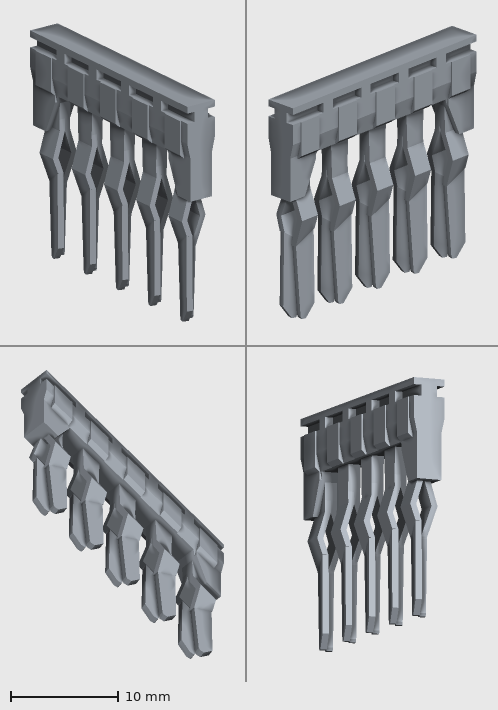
import cadquery as cq
import math


bar_length = 24.9
bar_thickness = 3.15
bar_height = 5.53
half_length = bar_length / 2
half_thickness = bar_thickness / 2

taper_start = 3.7
taper_end = 5.18

leg_thickness = 2.5
leg_height = 9.54
leg_foot_width = 2.0
leg_root_width = 3.78
half_leg_thickness = leg_thickness / 2

pin_count = 5
pitch = 5.1
pin_centers = [(i - (pin_count - 1) / 2) * pitch for i in range(pin_count)]

pad_width = 2.47
pad_thickness = 3.4
pad_chamfer_start = 5.1
slot_width = 3.83
slot_depth = 0.8
slot_top = 0.67
slot_bottom = 1.7
half_pad_thickness = pad_thickness / 2

strip_thickness = 0.62
pin_root = 3.74
pin_half_width = 1.17
waist_half_width = 1.07
waist_depth = 8.12
spread_depth = 9.21
bulge_depth = 11.8
bulge_gap = 0.87
bulge_left = 0.9
edge_slope = 0.05

blade_twist = 13.0
blade_offset = 0.67
blade_right_top = 1.25
blade_right_bottom = 1.37
blade_left_top = 0.7
blade_left_bottom = 0.2
blade_left_depth = 14.95
tip_depth = 20.82
tip_right = 0.4
tip_left = 0.07
tip_left_depth = 21.85
pin_depth = 22.15


def prism_along_y(points, thickness):
    """Extrude an XZ outline symmetrically about the mid plane."""
    return cq.Workplane("XZ").polyline(points).close().extrude(thickness / 2, both=True)


def prism_along_x(points, length):
    """Extrude a YZ outline symmetrically about X = 0."""
    return cq.Workplane("YZ").polyline(points).close().extrude(length / 2, both=True)


def mirrored_in_first(points):
    """Complete a right-hand half outline with its mirror image."""
    return points + [(-a, b) for a, b in reversed(points)]


def make_bar():
    outline = mirrored_in_first([
        (half_length, 0),
        (half_length, -leg_height),
        (half_length - leg_foot_width, -leg_height),
        (half_length - leg_root_width, -bar_height),
    ])
    silhouette = prism_along_y(outline, bar_thickness)

    taper_slope = (half_thickness - half_leg_thickness) / (taper_end - taper_start)
    foot_half_thickness = half_thickness - taper_slope * (leg_height - taper_start)
    section = mirrored_in_first([
        (half_thickness, 0),
        (half_thickness, -taper_start),
        (foot_half_thickness, -leg_height),
    ])
    bar = silhouette.intersect(prism_along_x(section, bar_length))

    leg_block_width = half_length - pin_centers[-1] + pad_width / 2
    for side in (-1, 1):
        block = (
            cq.Workplane("XY")
            .box(leg_block_width, leg_thickness, leg_height, centered=(True, True, False))
            .translate((side * (half_length - leg_block_width / 2), 0, -leg_height))
        )
        bar = bar.union(block.intersect(silhouette))
    return bar


def make_pad():
    section = mirrored_in_first([
        (half_pad_thickness, -slot_bottom),
        (half_pad_thickness, -pad_chamfer_start),
        (half_leg_thickness, -bar_height),
    ])
    return prism_along_x(section, pad_width)


def make_slot_pair():
    """Cutters for the slots in the front and back faces."""
    center_z = -(slot_top + slot_bottom) / 2
    cutter = cq.Workplane("XY").box(slot_width, 2 * slot_depth, slot_bottom - slot_top)
    front = cutter.translate((0, -half_thickness, center_z))
    back = cutter.translate((0, half_thickness, center_z))
    return front.union(back)


def make_front_strip():
    """Bowed strip in front of the mid plane, ending in a twisted blade."""
    spread_slope = bulge_gap / (bulge_depth - spread_depth)
    twist = math.radians(blade_twist)

    bulge_outer = bulge_gap + strip_thickness
    bend_center = bulge_depth + (bulge_outer - blade_offset) / spread_slope
    bend_slope = math.tan(twist) / spread_slope

    def bend_z(x):
        return -bend_center + bend_slope * x

    reach = pad_width
    above_bend = prism_along_y(
        [(-reach, 0), (-reach, bend_z(-reach)), (reach, bend_z(reach)), (reach, 0)],
        2 * pad_thickness,
    )

    inner_line = [
        (0, -pin_root),
        (0, -spread_depth),
        (-bulge_gap, -bulge_depth),
        (spread_slope * (pin_depth - bulge_depth) - bulge_gap, -pin_depth),
    ]
    outer_line = [(y - strip_thickness, z) for y, z in reversed(inner_line)]
    bow_right = waist_half_width + edge_slope * (pin_depth - waist_depth)
    bow_outline = [
        (-pin_half_width, -pin_root),
        (-pin_half_width, -bar_height),
        (-waist_half_width, -waist_depth),
        (-bulge_left, -bulge_depth),
        (-blade_left_top, -blade_left_depth),
        (-blade_left_top, -pin_depth),
        (bow_right, -pin_depth),
        (waist_half_width, -waist_depth),
        (pin_half_width, -bar_height),
        (pin_half_width, -pin_root),
    ]
    bow = (
        prism_along_x(inner_line + outer_line, 2 * reach)
        .intersect(prism_along_y(bow_outline, 2 * pad_thickness))
        .intersect(above_bend)
    )

    blade_face = cq.Plane(
        origin=(0, -blade_offset, 0),
        xDir=(math.cos(twist), -math.sin(twist), 0),
        normal=(-math.sin(twist), -math.cos(twist), 0),
    )
    blade_outline = [
        (-blade_left_top, -bulge_depth),
        (-blade_left_top, -blade_left_depth),
        (-blade_left_bottom, -tip_left_depth),
        (-tip_left, -pin_depth),
        (tip_right, -pin_depth),
        (blade_right_bottom, -tip_depth),
        (blade_right_top, -bulge_depth),
    ]
    blade = (
        cq.Workplane(blade_face)
        .polyline(blade_outline)
        .close()
        .extrude(-strip_thickness * math.cos(twist))
        .cut(above_bend)
    )
    return bow.union(blade)


def make_pin():
    """Two strips, each the other turned half a revolution about the pin axis."""
    front = make_front_strip()
    return front.union(front.rotate((0, 0, 0), (0, 0, 1), 180))


result = make_bar()

slot_pair = make_slot_pair()
for center in pin_centers:
    result = result.cut(slot_pair.translate((center, 0, 0)))
for side in (-1, 1):
    result = result.cut(slot_pair.translate((side * half_length, 0, 0)))

pad = make_pad()
pin = make_pin()
for center in pin_centers:
    result = result.union(pad.translate((center, 0, 0)))
    result = result.union(pin.translate((center, 0, 0)))